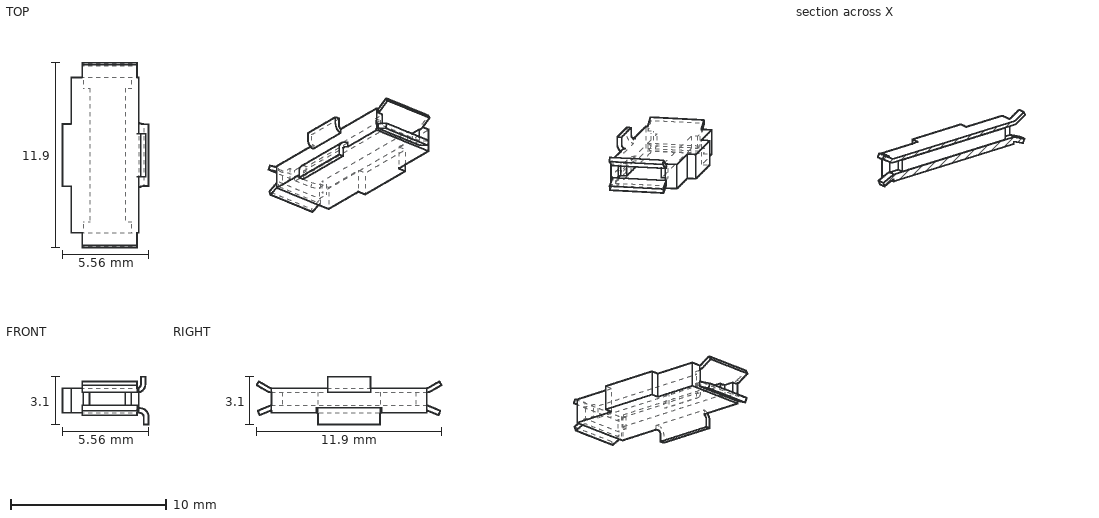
import cadquery as cq
import math

body_left, body_right = -2.22, 2.15
body_half_length = 5.01
body_bottom, body_top = -0.8, 0.81
body_height = body_top - body_bottom
boss_left = -2.78
boss_half_length = 2.02

passage_bottom, passage_top = -0.29, 0.53
passage_center_x = 0.12
tunnel_width = 2.29
pocket_width = 3.1
pocket_depth = 0.72

flap_left, flap_right = -1.5, 2.04
upper_flap_thickness = body_top - passage_top
upper_flap_angle = 30.0
upper_flap_bend_radius = 0.24
upper_flap_length = 0.8
lower_flap_thickness = 0.32
lower_flap_angle = 22.5
lower_flap_length = 0.95

tab_bend_radius = 0.25
upper_tab_thickness = 0.3
upper_tab_bend_x = 2.03
upper_tab_half_length = 1.39
tab_tip_z = 1.55
lower_tab_thickness = 0.32
lower_tab_bend_x = 2.21
lower_tab_half_length = 2.0
root_flare = 0.1


def block(x_min, x_max, y_min, y_max, z_min, z_max):
    size = (x_max - x_min, y_max - y_min, z_max - z_min)
    return cq.Workplane("XY").box(*size, centered=False).translate((x_min, y_min, z_min))


def centered_passage(width, y_min, y_max):
    left = passage_center_x - width / 2
    return block(left, left + width, y_min, y_max, passage_bottom, passage_top)


def polar(center, radius, angle):
    a = math.radians(angle)
    return (center[0] + radius * math.cos(a), center[1] + radius * math.sin(a))


def make_body():
    body = block(body_left, body_right, -body_half_length, body_half_length, body_bottom, body_top)
    boss = block(boss_left, body_left, -boss_half_length, boss_half_length, body_bottom, body_top)
    tunnel = centered_passage(tunnel_width, -body_half_length, body_half_length)
    pocket = centered_passage(pocket_width, body_half_length - pocket_depth, body_half_length)
    return body.union(boss).cut(tunnel).cut(pocket).cut(pocket.mirror("XZ"))


def flap_plane():
    """Plane whose local axes are Y and Z, extruding toward +X."""
    return cq.Workplane("YZ", origin=(flap_left, 0, 0))


def make_upper_flap():
    center = (body_half_length, body_top + upper_flap_bend_radius)
    outer_radius = upper_flap_bend_radius + upper_flap_thickness
    bend_end = upper_flap_angle - 90
    bend_middle = upper_flap_angle / 2 - 90
    inner_end = polar(center, upper_flap_bend_radius, bend_end)
    outer_end = polar(center, outer_radius, bend_end)
    return (
        flap_plane()
        .moveTo(body_half_length, body_top)
        .threePointArc(polar(center, upper_flap_bend_radius, bend_middle), inner_end)
        .lineTo(*polar(inner_end, upper_flap_length, upper_flap_angle))
        .lineTo(*polar(outer_end, upper_flap_length, upper_flap_angle))
        .lineTo(*outer_end)
        .threePointArc(polar(center, outer_radius, bend_middle), (body_half_length, passage_top))
        .close()
        .extrude(flap_right - flap_left)
    )


def make_lower_flap():
    root_top = (body_half_length, passage_bottom)
    tip_top = polar(root_top, lower_flap_length, -lower_flap_angle)
    tip_bottom = polar(tip_top, lower_flap_thickness, -lower_flap_angle - 90)
    root_bottom = passage_bottom - lower_flap_thickness / math.cos(math.radians(lower_flap_angle))
    return (
        flap_plane()
        .moveTo(*root_top)
        .lineTo(*tip_top)
        .lineTo(*tip_bottom)
        .lineTo(body_half_length, root_bottom)
        .close()
        .extrude(flap_right - flap_left)
    )


def make_tab(bend_x, face_z, thickness, half_length, direction):
    """L-shaped tab flush with a body face; direction is +1 to bend up, -1 to bend down."""
    center = (bend_x, face_z + direction * tab_bend_radius)
    outer_radius = tab_bend_radius + thickness
    tip_z = direction * tab_tip_z
    bend_middle = -45 * direction
    root_x = body_right - thickness
    return (
        cq.Workplane("XZ", origin=(0, half_length, 0))
        .moveTo(root_x, face_z)
        .lineTo(bend_x, face_z)
        .threePointArc(polar(center, tab_bend_radius, bend_middle), (bend_x + tab_bend_radius, center[1]))
        .lineTo(bend_x + tab_bend_radius, tip_z)
        .lineTo(bend_x + outer_radius, tip_z)
        .lineTo(bend_x + outer_radius, center[1])
        .threePointArc(polar(center, outer_radius, bend_middle), (bend_x, face_z - direction * thickness))
        .lineTo(root_x, face_z - direction * thickness)
        .close()
        .extrude(2 * half_length)
    )


def make_lower_tab():
    """Lower tab whose sides flare outward along a concave arc where it meets the body."""
    flared_half = lower_tab_half_length + root_flare
    tab = make_tab(lower_tab_bend_x, body_bottom, lower_tab_thickness, flared_half, -1)
    flare_end = lower_tab_bend_x + tab_bend_radius
    tab_right = flare_end + lower_tab_thickness
    outline = (
        cq.Workplane("XY", origin=(0, 0, -tab_tip_z))
        .moveTo(body_right, -flared_half)
        .lineTo(body_right, flared_half)
        .threePointArc(
            ((body_right + flare_end) / 2, lower_tab_half_length + root_flare / 4),
            (flare_end, lower_tab_half_length),
        )
        .lineTo(tab_right, lower_tab_half_length)
        .lineTo(tab_right, -lower_tab_half_length)
        .lineTo(flare_end, -lower_tab_half_length)
        .threePointArc(
            ((body_right + flare_end) / 2, -lower_tab_half_length - root_flare / 4),
            (body_right, -flared_half),
        )
        .close()
        .extrude(2 * tab_tip_z)
    )
    return tab.intersect(outline)


result = make_body()
for flap in (make_upper_flap(), make_lower_flap()):
    result = result.union(flap).union(flap.mirror("XZ"))
result = result.union(
    make_tab(upper_tab_bend_x, body_top, upper_tab_thickness, upper_tab_half_length, 1)
)
result = result.union(make_lower_tab())